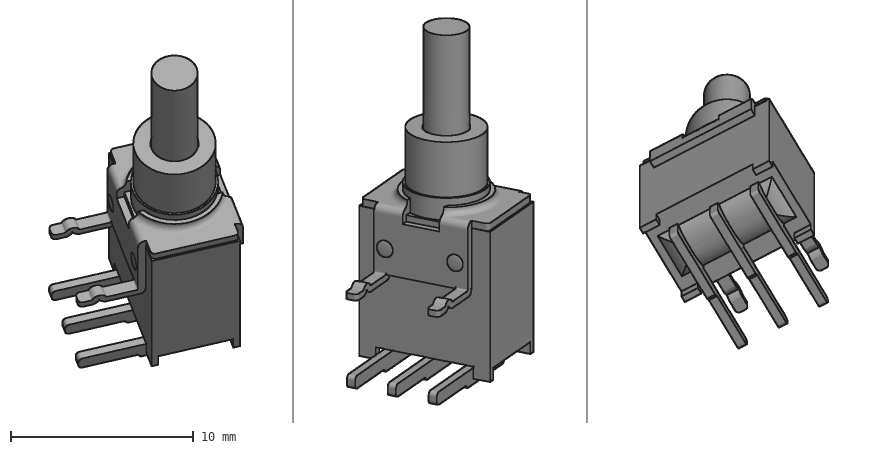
import cadquery as cq
import math


housing_x = 8.13
housing_y = 5.05
housing_top = 9.38
foot_bottom = 0.52
floor_z = 1.23
foot_gap_x = 6.05
foot_gap_y = 4.28

seal_bottom = 0.77
seal_edge_radius = 1.78
seal_flat_x = 4.8
seal_flat_y = 0.35

sheet = 0.44
plate_x = 7.93
plate_y = 5.0
plate_corner_radius = 0.24
plate_top = housing_top + sheet
wall_x = 5.83
wall_bottom = 5.83
flange_x = 6.35
flange_bottom = 8.03
bracket_y = housing_y + 2 * sheet
bend_radius = 0.42
collar_diameter = 5.35
collar_height = 0.42
collar_fillet = 0.4
slot_x = 2.26
slot_bottom = 9.0

bump_spacing = 4.36
bump_shift_x = -0.05
bump_z = 7.34
bump_base_diameter = 1.0
bump_shoulder_diameter = 0.77
bump_tip_diameter = 0.35
bump_shoulder_height = 0.04
bump_height = 0.05

overall_y = 9.3
tip_y = bracket_y / 2 - overall_y
leg_width = 0.75
leg_thickness = 0.38
leg_bend_radius = 0.34
leg_inner_radius = 0.1
leg_tip_radius = 0.24
kink_y = -5.18
kink_half_width = 0.42
kink_rise = 0.25
kink_foot_radius = 0.1
kink_notch_half_width = 0.38
kink_notch_bulge_y = 0.15
kink_notch_bulge_z = 0.1

terminal_pitch = 2.54
terminal_width = 0.52
terminal_back_y = 1.47
terminal_step_y = -1.45
terminal_heel_y = -2.95
terminal_top = 0.97
terminal_tail_bottom = 0.2
terminal_back_radius = 0.18
terminal_tip_radius = 0.25

bushing_diameter = 4.52
bushing_base_diameter = 4.78
bushing_base_top = 10.67
bushing_top = 13.92
bore_diameter = 2.64
plunger_diameter = 2.54
plunger_top = 19.83


def block(size_x, size_y, bottom, top, center_y=0.0):
    """Upright block centred on X = 0."""
    blank = cq.Workplane("XY", origin=(0, center_y, bottom))
    return blank.rect(size_x, size_y).extrude(top - bottom)


def cylinder(diameter, bottom, top):
    """Upright cylinder on the plunger axis."""
    return cq.Workplane("XY", origin=(0, 0, bottom)).circle(diameter / 2).extrude(top - bottom)


def make_housing():
    """Box whose underside is cut away in both directions to leave four corner feet."""
    box = block(housing_x, housing_y, foot_bottom, housing_top)
    gap_along_y = block(foot_gap_x, housing_y, foot_bottom, floor_z)
    gap_along_x = block(housing_x, foot_gap_y, foot_bottom, floor_z)
    return box.cut(gap_along_y).cut(gap_along_x)


def make_seal():
    """Low dome under the floor, curved down to a flat bottom from all four sides."""
    size_x = seal_flat_x + 2 * seal_edge_radius
    size_y = seal_flat_y + 2 * seal_edge_radius
    bar = block(size_x, size_y, seal_bottom, seal_bottom + 2 * seal_edge_radius)
    long_edges_rounded = bar.edges("<Z and |X").fillet(seal_edge_radius)
    short_edges_rounded = bar.edges("<Z and |Y").fillet(seal_edge_radius)
    below_floor = block(housing_x, housing_y, seal_bottom, floor_z)
    return long_edges_rounded.intersect(short_edges_rounded).intersect(below_floor)


def bent_strip(width, side, bottom):
    """Strip down the front (side -1) or back (side 1) of the housing, bent over from the plate."""
    strip = block(width, sheet, bottom, plate_top, side * (bracket_y - sheet) / 2)
    root = block(width, sheet, housing_top, plate_top, side * (housing_y - sheet) / 2)
    outer_edge = ">Y and >Z" if side > 0 else "<Y and >Z"
    return strip.union(root).edges(outer_edge).fillet(bend_radius)


def is_collar_foot(edge):
    """True for the edges where the collar stands on the plate and its bends."""
    tolerance = 0.002
    return all(
        abs(math.hypot(end.x, end.y) - collar_diameter / 2) < tolerance and end.z < plate_top + tolerance
        for end in (edge.startPoint(), edge.endPoint())
    )


def make_bracket():
    """Plate over the housing with a front wall, a back flange, a raised collar and two slots."""
    bracket = block(plate_x, plate_y, housing_top, plate_top).edges("|Z").fillet(plate_corner_radius)
    bracket = bracket.union(bent_strip(wall_x, -1, wall_bottom))
    bracket = bracket.union(bent_strip(flange_x, 1, flange_bottom))
    bracket = bracket.union(cylinder(collar_diameter, housing_top, plate_top + collar_height))
    bracket = bracket.edges().filter(is_collar_foot).fillet(collar_fillet)
    slots = block(slot_x, bracket_y, slot_bottom, plate_top + collar_height)
    return bracket.cut(slots)


def make_bump(x):
    """Low stepped cone on the front wall, with a base sunk to half the sheet thickness."""
    sunk_y = sheet / 2
    profile = (
        cq.Workplane("XY", origin=(x, -bracket_y / 2, bump_z))
        .moveTo(0, sunk_y)
        .lineTo(bump_base_diameter / 2, sunk_y)
        .lineTo(bump_base_diameter / 2, 0)
        .lineTo(bump_shoulder_diameter / 2, -bump_shoulder_height)
        .lineTo(bump_tip_diameter / 2, -bump_height)
        .lineTo(0, -bump_height)
        .close()
    )
    return profile.revolve(360, (0, 0), (0, 1))


def nearest_edge(shape, point):
    """Edge along X nearest to the given point."""
    return shape.edges("|X").edges(cq.selectors.NearestToPointSelector(point))


def make_leg(side):
    """Horizontal leg bent out from the foot of the front wall, with a kink and a rounded tip."""
    top = wall_bottom
    bottom = top - leg_thickness
    wall_back_y = -housing_y / 2
    wall_front_y = -bracket_y / 2
    outer_x = side * wall_x / 2
    middle_x = outer_x - side * leg_width / 2
    notch_side_z = bottom + kink_notch_bulge_z
    notch_top_z = bottom + kink_rise
    leg = (
        cq.Workplane("YZ", origin=(outer_x, 0, 0))
        .moveTo(wall_back_y, bottom)
        .lineTo(kink_y + kink_notch_half_width, bottom)
        .threePointArc((kink_y + kink_notch_bulge_y, notch_side_z), (kink_y, notch_top_z))
        .threePointArc((kink_y - kink_notch_bulge_y, notch_side_z), (kink_y - kink_notch_half_width, bottom))
        .lineTo(tip_y, bottom)
        .lineTo(tip_y, top)
        .lineTo(kink_y - kink_half_width, top)
        .threePointArc((kink_y, top + kink_rise), (kink_y + kink_half_width, top))
        .lineTo(wall_front_y, top)
        .lineTo(wall_front_y, top + sheet)
        .lineTo(wall_back_y, top + sheet)
        .close()
        .extrude(-side * leg_width)
    )
    leg = leg.edges("<Y and |Z").fillet(leg_tip_radius)
    leg = nearest_edge(leg, (middle_x, wall_back_y, bottom)).fillet(leg_bend_radius)
    leg = nearest_edge(leg, (middle_x, wall_front_y, top)).fillet(leg_inner_radius)
    for kink_end in (-1, 1):
        kink_foot = (middle_x, kink_y + kink_end * kink_half_width, top)
        leg = nearest_edge(leg, kink_foot).fillet(kink_foot_radius)
    return leg


def make_terminal(x):
    """Flat terminal standing on edge: a deep root below the floor and a slimmer tail."""

    def part(front_y, back_y, bottom, top):
        return block(terminal_width, back_y - front_y, bottom, top, (front_y + back_y) / 2)

    root = part(terminal_step_y, terminal_back_y, 0, floor_z)
    root = root.edges(">Y and <Z").fillet(terminal_back_radius)
    heel = part(terminal_heel_y, terminal_step_y, 0, terminal_top)
    heel = heel.edges("<Y and <Z").chamfer(terminal_tail_bottom)
    tail = part(tip_y, terminal_step_y, terminal_tail_bottom, terminal_top)
    tail = tail.edges("<Y and |X").fillet(terminal_tip_radius)
    return root.union(heel).union(tail).translate((x, 0, 0))


def make_bushing():
    """Stepped bushing standing on the housing."""
    base = cylinder(bushing_base_diameter, housing_top, bushing_base_top)
    return base.union(cylinder(bushing_diameter, bushing_base_top, bushing_top))


def make_switch_body():
    """Housing, bracket, bushing and terminals in one piece, bored for the plunger."""
    body = make_housing().union(make_seal()).union(make_bracket()).union(make_bushing())
    for side in (-1, 1):
        body = body.union(make_leg(side)).union(make_bump(side * bump_spacing / 2 + bump_shift_x))
    for place in (-1, 0, 1):
        body = body.union(make_terminal(place * terminal_pitch))
    return body.cut(cylinder(bore_diameter, housing_top, bushing_top))


def make_plunger():
    """Plain rod that rests on the floor of the bore."""
    return cylinder(plunger_diameter, housing_top, plunger_top)


switch_body = make_switch_body()
plunger = make_plunger()

result = cq.Compound.makeCompound([switch_body.val(), plunger.val()])